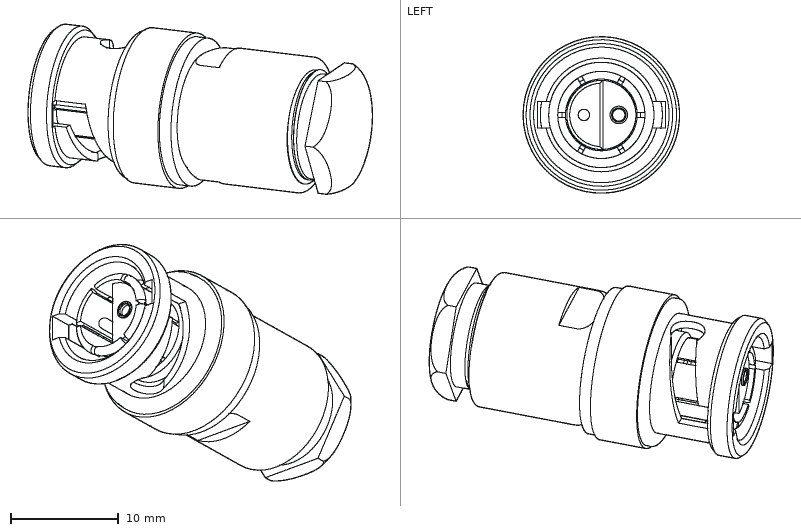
import cadquery as cq
import math


FLANGE_LENGTH = 2.4
FLANGE_RADIUS = 6.63
FLANGE_BEVEL = (0.4, 0.33)
SLEEVE_RADIUS = 5.67
SLEEVE_BORE = 4.9
MOUTH_BEVEL = 0.4
CAVITY_DEPTH = 8.4

SHOULDER_X = 8.25
SHOULDER_ROUND = 0.33
SHOULDER_RADIUS = 7.0
GRIP_X = 9.0
GRIP_RADIUS = 14.55 / 2
RIM_X = 13.5
RIM_RADIUS = 6.93
RIM_END = 14.65

BODY_RADIUS = 6.35
BODY_ROUND = 1.5
BODY_ROUND_END = 16.2
BODY_BACK = 25.72
BODY_BACK_ROUND = 0.4
FLAT_HEIGHT = 5.55
FLAT_END = 17.9

NECK_RADIUS = 4.92
NECK_X = 26.47
THREAD_CREST = 5.45
THREAD_ROOT = 5.05
THREAD_PITCH = 0.72
THREAD_TURNS = 2.5
THREAD_START_X = 24.85
THREAD_ROOT_WIDTH = 0.18
THREAD_CLEARANCE = 0.015
THREAD_FLANK_ANGLE = 30
HEX_X = 27.88
HEX_HALF_FLATS = 5.45
HEX_CORNER = HEX_HALF_FLATS / math.cos(math.radians(30))
TOTAL_LENGTH = 29.98
DOME_START = 28.7
DOME_MIDDLE = (29.55, 5.7)
DOME_FACE_RADIUS = 4.75

SLOT_HALF_WIDTH = 1.23
SLOT_FLOOR_Y = 5.95
ENTRY_LENGTH = 3.6
SLOT_CUT_INNER = 4.47
SLOT_CUT_OUTER = 6.0
SLOT_ADVANCE = 0.0235
SLOT_REAR_X = 5.75
SLOT_AXIAL_WIDTH = 2.52
SLOT_STOP_X = 8.1
LATCH_X = 6.2
LATCH_Y = 0.4
LATCH_RADIUS = 1.6

TUBE_FRONT = 0.9
TUBE_RADIUS = 3.65
TUBE_BORE = 3.33
TUBE_BEAD_RADIUS = 4.05
TUBE_BEAD_LENGTH = 0.85
TUBE_SLIT_WIDTH = 0.45
TUBE_SLIT_COUNT = 6
TUBE_BACK = 6.8
COLLAR_BEVEL = 0.4

INSULATOR_RADIUS = 3.2
TALL_FACE_X = 1.38
SHORT_FACE_X = 5.97
SHORT_BEVEL = 0.27
SPLIT_Y = -0.135
CONTACT_OFFSET = 1.62
PIN_TIP_X = 1.8
PIN_RADIUS = 1.05 / 2
SOCKET_RADIUS = 0.8
SOCKET_PROTRUSION = 0.15
SOCKET_HOLE_RADIUS = 0.57
SOCKET_DEPTH = 1.62
SOCKET_COUNTERSINK = 0.1


def cylinder(x_start, x_end, radius, y=0.0):
    """Cylinder parallel to X."""
    return cq.Workplane("YZ", origin=(x_start, y, 0)).circle(radius).extrude(x_end - x_start)


def block(x_range, y_range, z_range):
    """Box given by its limits along each axis."""
    low = (x_range[0], y_range[0], z_range[0])
    size = (x_range[1] - low[0], y_range[1] - low[1], z_range[1] - low[2])
    return cq.Workplane("XY").box(*size, centered=False).translate(low)


def spin(profile):
    """Revolve an X-radius profile about the X axis."""
    return profile.close().revolve(360, (0, 0, 0), (1, 0, 0))


def half_turn(shape):
    return shape.rotate((0, 0, 0), (1, 0, 0), 180)


def make_shell():
    """Coupling sleeve, grip rings, rear body and threaded shank as one turned shape."""
    bevel_length, bevel_height = FLANGE_BEVEL
    diagonal = math.sqrt(0.5)
    bevel_end_x = BODY_ROUND_END - BODY_ROUND * diagonal
    bevel_end_radius = BODY_RADIUS - BODY_ROUND * (1 - diagonal)
    mid_turn = math.radians(22.5)
    round_middle = (
        BODY_ROUND_END - BODY_ROUND * math.sin(mid_turn),
        BODY_RADIUS - BODY_ROUND * (1 - math.cos(mid_turn)),
    )
    profile = (
        cq.Workplane("XY")
        .moveTo(CAVITY_DEPTH, 0)
        .lineTo(CAVITY_DEPTH, SLEEVE_BORE)
        .lineTo(MOUTH_BEVEL, SLEEVE_BORE)
        .lineTo(0, SLEEVE_BORE + MOUTH_BEVEL)
        .lineTo(0, FLANGE_RADIUS - bevel_height)
        .lineTo(bevel_length, FLANGE_RADIUS)
        .lineTo(FLANGE_LENGTH - bevel_length, FLANGE_RADIUS)
        .lineTo(FLANGE_LENGTH, FLANGE_RADIUS - bevel_height)
        .lineTo(FLANGE_LENGTH, SLEEVE_RADIUS)
        .lineTo(SHOULDER_X, SLEEVE_RADIUS)
        .lineTo(SHOULDER_X, SHOULDER_RADIUS - SHOULDER_ROUND)
        .radiusArc((SHOULDER_X + SHOULDER_ROUND, SHOULDER_RADIUS), SHOULDER_ROUND)
        .lineTo(GRIP_X, SHOULDER_RADIUS)
        .lineTo(GRIP_X, GRIP_RADIUS)
        .lineTo(RIM_X, GRIP_RADIUS)
        .lineTo(RIM_X, RIM_RADIUS)
        .lineTo(RIM_END, RIM_RADIUS)
        .lineTo(RIM_END, bevel_end_radius - (bevel_end_x - RIM_END))
        .lineTo(bevel_end_x, bevel_end_radius)
        .threePointArc(round_middle, (BODY_ROUND_END, BODY_RADIUS))
        .lineTo(BODY_BACK - BODY_BACK_ROUND, BODY_RADIUS)
        .radiusArc((BODY_BACK, BODY_RADIUS - BODY_BACK_ROUND), BODY_BACK_ROUND)
        .lineTo(BODY_BACK, THREAD_CREST)
        .lineTo(NECK_X - (THREAD_CREST - NECK_RADIUS), THREAD_CREST)
        .lineTo(NECK_X, NECK_RADIUS)
        .lineTo(HEX_X, NECK_RADIUS)
        .lineTo(HEX_X, 0)
    )
    return spin(profile)


def make_body_flats():
    """Material above and below the two spanner flats on the rear body."""
    reach = GRIP_RADIUS
    upper = block((RIM_END, FLAT_END), (-reach, reach), (FLAT_HEIGHT, reach))
    return upper.union(half_turn(upper))


def make_thread_groove():
    """Helical groove of the shank, only where it leaves the rear body."""
    half_root = THREAD_ROOT_WIDTH / 2
    groove_height = THREAD_CREST + THREAD_CLEARANCE - THREAD_ROOT
    half_top = half_root + groove_height * math.tan(math.radians(THREAD_FLANK_ANGLE))
    helix = cq.Wire.makeHelix(THREAD_PITCH, THREAD_PITCH * THREAD_TURNS, THREAD_ROOT)
    groove = (
        cq.Workplane("XZ")
        .moveTo(THREAD_ROOT, -half_root)
        .lineTo(THREAD_ROOT + groove_height, -half_top)
        .lineTo(THREAD_ROOT + groove_height, half_top)
        .lineTo(THREAD_ROOT, half_root)
        .close()
        .sweep(cq.Workplane(helix), isFrenet=True)
        .rotate((0, 0, 0), (0, 1, 0), 90)
        .translate((THREAD_START_X, 0, 0))
    )
    return groove.intersect(cylinder(BODY_BACK, HEX_X, BODY_RADIUS))


def make_hexagon():
    """Nut hexagon with corners on +Y and -Y and a domed rear end."""
    prism = (
        cq.Workplane("YZ", origin=(HEX_X, 0, 0))
        .polygon(6, 2 * HEX_CORNER)
        .extrude(TOTAL_LENGTH - HEX_X)
    )
    dome = spin(
        cq.Workplane("XY")
        .moveTo(HEX_X, 0)
        .lineTo(HEX_X, HEX_CORNER)
        .lineTo(DOME_START, HEX_CORNER)
        .threePointArc(DOME_MIDDLE, (TOTAL_LENGTH, DOME_FACE_RADIUS))
        .lineTo(TOTAL_LENGTH, 0)
    )
    return prism.intersect(dome)


def make_bayonet_slot():
    """Straight entry on +Y, helical ramp and round latch hole on +Z."""
    entry = block(
        (0, ENTRY_LENGTH),
        (SLOT_CUT_INNER, SLOT_FLOOR_Y),
        (-SLOT_HALF_WIDTH, SLOT_HALF_WIDTH),
    )

    start_angle = (FLANGE_LENGTH - SLOT_REAR_X) / SLOT_ADVANCE
    span = SLOT_AXIAL_WIDTH / SLOT_ADVANCE

    def on_circle(radius, fraction):
        angle = math.radians(start_angle + span * fraction)
        return (radius * math.cos(angle), radius * math.sin(angle))

    ramp_length = SLOT_STOP_X - FLANGE_LENGTH
    ramp = (
        cq.Workplane("YZ", origin=(FLANGE_LENGTH, 0, 0))
        .moveTo(*on_circle(SLOT_CUT_INNER, 0))
        .lineTo(*on_circle(SLOT_CUT_OUTER, 0))
        .threePointArc(on_circle(SLOT_CUT_OUTER, 0.5), on_circle(SLOT_CUT_OUTER, 1))
        .lineTo(*on_circle(SLOT_CUT_INNER, 1))
        .threePointArc(on_circle(SLOT_CUT_INNER, 0.5), on_circle(SLOT_CUT_INNER, 0))
        .close()
        .twistExtrude(ramp_length, ramp_length / SLOT_ADVANCE)
    )
    ramp_limits = block(
        (FLANGE_LENGTH, SLOT_STOP_X),
        (LATCH_Y, FLANGE_RADIUS),
        (-SLOT_HALF_WIDTH, FLANGE_RADIUS),
    )
    latch = (
        cq.Workplane("XY", origin=(LATCH_X, LATCH_Y, SLOT_CUT_INNER))
        .circle(LATCH_RADIUS)
        .extrude(FLANGE_RADIUS - SLOT_CUT_INNER)
    )
    return [entry, ramp.intersect(ramp_limits), latch]


def make_contact_tube():
    """Tube with a beaded lip, six lengthwise slits and a bevelled collar at its root."""
    bead_end = TUBE_FRONT + TUBE_BEAD_LENGTH
    collar_radius = TUBE_RADIUS + COLLAR_BEVEL
    tube = spin(
        cq.Workplane("XY")
        .moveTo(TUBE_FRONT, TUBE_BORE)
        .lineTo(TUBE_FRONT, TUBE_RADIUS)
        .threePointArc((TUBE_FRONT + TUBE_BEAD_LENGTH / 2, TUBE_BEAD_RADIUS), (bead_end, TUBE_RADIUS))
        .lineTo(TUBE_BACK, TUBE_RADIUS)
        .lineTo(TUBE_BACK + COLLAR_BEVEL, collar_radius)
        .lineTo(CAVITY_DEPTH, collar_radius)
        .lineTo(CAVITY_DEPTH, TUBE_BORE)
    )
    half_slit = TUBE_SLIT_WIDTH / 2
    slit = block((0, TUBE_BACK), (0, SLEEVE_BORE), (-half_slit, half_slit))
    for index in range(TUBE_SLIT_COUNT):
        tube = tube.cut(slit.rotate((0, 0, 0), (1, 0, 0), index * 360 / TUBE_SLIT_COUNT))
    return tube


def make_insulator():
    """Two half-discs of different height carrying a pin and a socket."""
    reach = INSULATOR_RADIUS
    short_half = (
        cylinder(SHORT_FACE_X, CAVITY_DEPTH, INSULATOR_RADIUS)
        .intersect(block((0, CAVITY_DEPTH), (SPLIT_Y, reach), (-reach, reach)))
        .faces("<X")
        .chamfer(SHORT_BEVEL)
    )
    tall_half = cylinder(TALL_FACE_X, CAVITY_DEPTH, INSULATOR_RADIUS).intersect(
        block((0, CAVITY_DEPTH), (-reach, SPLIT_Y), (-reach, reach))
    )
    tip_centre_x = PIN_TIP_X + PIN_RADIUS
    pin_tip = cq.Workplane("XY").sphere(PIN_RADIUS).translate((tip_centre_x, CONTACT_OFFSET, 0))
    pin = cylinder(tip_centre_x, CAVITY_DEPTH, PIN_RADIUS, CONTACT_OFFSET).union(pin_tip)

    socket_front = TALL_FACE_X - SOCKET_PROTRUSION
    socket = cylinder(socket_front, CAVITY_DEPTH, SOCKET_RADIUS, -CONTACT_OFFSET)
    socket_hole = spin(
        cq.Workplane("XY")
        .moveTo(socket_front, 0)
        .lineTo(socket_front, SOCKET_HOLE_RADIUS + SOCKET_COUNTERSINK)
        .lineTo(socket_front + SOCKET_COUNTERSINK, SOCKET_HOLE_RADIUS)
        .lineTo(SOCKET_DEPTH, SOCKET_HOLE_RADIUS)
        .lineTo(SOCKET_DEPTH + SOCKET_HOLE_RADIUS, 0)
    ).translate((0, -CONTACT_OFFSET, 0))
    return short_half.union(tall_half).union(pin).union(socket).cut(socket_hole)


shell = make_shell().cut(make_body_flats()).cut(make_thread_groove())
for slot_piece in make_bayonet_slot():
    shell = shell.cut(slot_piece).cut(half_turn(slot_piece))

result = (
    shell.union(make_hexagon())
    .union(make_contact_tube())
    .union(make_insulator())
)